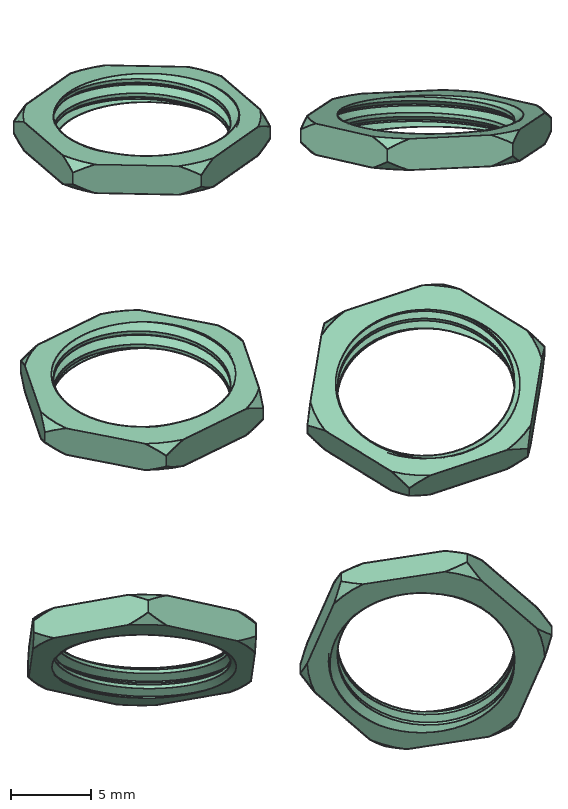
import cadquery as cq
import math

across_corners = 16.0
thickness = 2.0
corner_chamfer = 0.6

bore_diameter = 11.04
root_diameter = 12.15
pitch = 1.0
crest_flat = pitch / 4
flank_angle = 30.0
start_angle = 90.0
bore_overlap = 0.1


def chamfered_hexagon():
    """Hexagonal plate trimmed by a turned blank with a cone at each end."""
    plate = cq.Workplane("XY").polygon(6, across_corners).extrude(thickness)
    blank = (
        cq.Workplane("XY")
        .circle(across_corners / 2)
        .extrude(thickness)
        .faces("<Z or >Z")
        .chamfer(corner_chamfer)
    )
    return plate.intersect(blank)


def thread_groove():
    """Trapezoidal groove cutter that runs past both end faces."""
    bore_radius = bore_diameter / 2
    root_radius = root_diameter / 2
    inner_radius = bore_radius - bore_overlap
    flank_slope = math.tan(math.radians(flank_angle))

    mouth_half = (pitch - crest_flat) / 2
    root_half = mouth_half - (root_radius - bore_radius) * flank_slope
    inner_half = mouth_half + bore_overlap * flank_slope

    profile = (
        cq.Workplane("XZ")
        .moveTo(inner_radius, -inner_half)
        .lineTo(root_radius, -root_half)
        .lineTo(root_radius, root_half)
        .lineTo(inner_radius, inner_half)
        .close()
    )
    helix = cq.Wire.makeHelix(pitch, thickness + 2 * pitch, bore_radius)
    groove = profile.sweep(cq.Workplane(obj=helix), isFrenet=True)
    return groove.translate((0, 0, -pitch)).rotate((0, 0, 0), (0, 0, 1), start_angle)


def threaded_nut():
    """Hexagonal nut with its bore and thread."""
    body = chamfered_hexagon()
    bore = cq.Workplane("XY").circle(bore_diameter / 2).extrude(thickness)
    return body.cut(bore).cut(thread_groove())


result = threaded_nut()